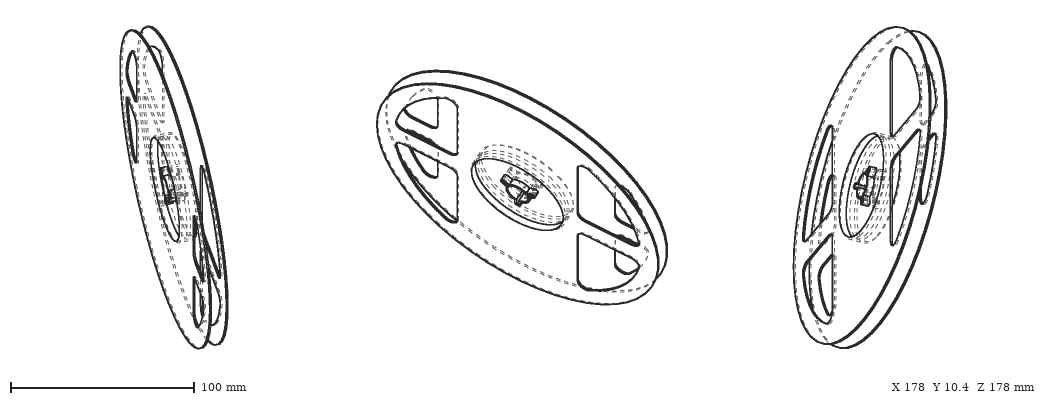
import cadquery as cq
import math

flange_radius = 89.0
flange_thickness = 1.0
reel_width = 10.4
front_y = -reel_width / 2
back_flange_y = reel_width / 2 - flange_thickness

hub_radius = 30.0
hub_wall = 1.0
recess_radius = hub_radius - hub_wall
web_thickness = 2.0
recess_depth = (reel_width - web_thickness) / 2

bore_radius = 6.4
keyway_width = 1.5
keyway_reach = 11.1
keyway_angles = [30, 150, 270]
sleeve_wall = 1.0
sleeve_length = 9.5

front_window_inner_x = 56.0
back_window_inner_x = 38.0
window_lower_z = 7.0
window_outer_radius = 78.0
window_corner_radius = 5.0


def cylinder(radius, start_y, length):
    """Solid cylinder on the Y axis, running toward +Y from start_y."""
    return cq.Workplane("XZ", origin=(0, start_y, 0)).circle(radius).extrude(-length)


def keyed_prism(radius, key_width, key_reach, start_y, length):
    """Cylinder on the Y axis with round-ended radial keys reaching out to key_reach."""
    prism = cylinder(radius, start_y, length)
    end_centre = key_reach - key_width / 2
    plane = cq.Workplane("XZ", origin=(0, start_y, 0))
    for angle in keyway_angles:
        key = (
            plane.transformed(rotate=(0, 0, angle))
            .center(end_centre / 2, 0)
            .slot2D(end_centre + key_width, key_width)
            .extrude(-length)
        )
        prism = prism.union(key)
    return prism


def make_drum():
    """Both flanges and the hub, with a recess in each end."""
    drum = cylinder(hub_radius, front_y, reel_width)
    for flange_y in (front_y, back_flange_y):
        drum = drum.union(cylinder(flange_radius, flange_y, flange_thickness))
    for recess_y in (front_y, web_thickness / 2):
        drum = drum.cut(cylinder(recess_radius, recess_y, recess_depth))
    return drum


def make_window(inner_x, flange_y):
    """Cutter for the +X +Z window of the flange starting at flange_y."""
    upper_z = math.sqrt(window_outer_radius**2 - inner_x**2)
    outer_x = math.sqrt(window_outer_radius**2 - window_lower_z**2)
    mid_angle = (math.atan2(upper_z, inner_x) + math.atan2(window_lower_z, outer_x)) / 2
    arc_middle = (window_outer_radius * math.cos(mid_angle), window_outer_radius * math.sin(mid_angle))
    return (
        cq.Workplane("XZ", origin=(0, flange_y, 0))
        .moveTo(inner_x, window_lower_z)
        .lineTo(outer_x, window_lower_z)
        .threePointArc(arc_middle, (inner_x, upper_z))
        .close()
        .extrude(-flange_thickness)
        .edges("|Y")
        .fillet(window_corner_radius)
    )


def cut_windows(body, inner_x, flange_y):
    """Cut the four mirrored windows of one flange."""
    right_window = make_window(inner_x, flange_y)
    left_window = right_window.mirror("YZ")
    for window in (right_window, left_window):
        body = body.cut(window).cut(window.mirror("XY"))
    return body


def add_keyed_sleeve(body):
    """Add the sleeve, then cut the bore and keyways through."""
    sleeve = keyed_prism(
        bore_radius + sleeve_wall,
        keyway_width + 2 * sleeve_wall,
        keyway_reach + sleeve_wall,
        -sleeve_length / 2,
        sleeve_length,
    )
    bore = keyed_prism(bore_radius, keyway_width, keyway_reach, front_y, reel_width)
    return body.union(sleeve).cut(bore)


result = make_drum()
result = cut_windows(result, front_window_inner_x, front_y)
result = cut_windows(result, back_window_inner_x, back_flange_y)
result = add_keyed_sleeve(result)